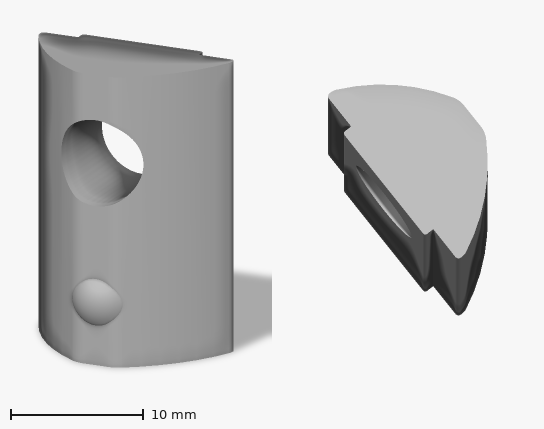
import cadquery as cq

length = 23.0
width = 16.0
body_depth = 8.49
total_depth = 9.3

tongue_width = 10.0
tongue_height = 0.8
tongue_corner_radius = 0.23

flank_radius = 14.95
flank_start_depth = 1.45
front_flat_width = 3.08
shoulder_corner_radius = 0.3
flank_start_radius = 1.0
front_edge_radius = 2.0

hole_diameter = 6.8
hole_height = 16.0
ball_radius = 2.5
ball_height = 5.0

half_width = width / 2
half_tongue = tongue_width / 2
half_flat = front_flat_width / 2


def fillet_edges_at(body, x, y, radius):
    """Round the mirrored pair of lengthwise edges at +x and -x."""
    reach = 0.05
    for side in (-1, 1):
        corner_low = (side * x - reach, y - reach, 0)
        corner_high = (side * x + reach, y + reach, length)
        corner = cq.selectors.BoxSelector(corner_low, corner_high)
        body = body.edges("|Z").edges(corner).fillet(radius)
    return body


def make_body():
    body = (
        cq.Workplane("XY")
        .moveTo(-half_tongue, 0)
        .lineTo(half_tongue, 0)
        .lineTo(half_tongue, -tongue_height)
        .lineTo(half_width, -tongue_height)
        .lineTo(half_width, -flank_start_depth)
        .radiusArc((half_flat, -body_depth), flank_radius)
        .lineTo(-half_flat, -body_depth)
        .radiusArc((-half_width, -flank_start_depth), flank_radius)
        .lineTo(-half_width, -tongue_height)
        .lineTo(-half_tongue, -tongue_height)
        .close()
        .extrude(length)
    )
    body = fillet_edges_at(body, half_tongue, 0, tongue_corner_radius)
    body = fillet_edges_at(body, half_width, -tongue_height, shoulder_corner_radius)
    body = fillet_edges_at(body, half_width, -flank_start_depth, flank_start_radius)
    return fillet_edges_at(body, half_flat, -body_depth, front_edge_radius)


def make_hole():
    return (
        cq.Workplane("XZ")
        .center(0, hole_height)
        .circle(hole_diameter / 2)
        .extrude(total_depth)
    )


def make_ball():
    ball_center = (0, ball_radius - total_depth, ball_height)
    return cq.Workplane("XY").sphere(ball_radius).translate(ball_center)


result = make_body().cut(make_hole()).union(make_ball())